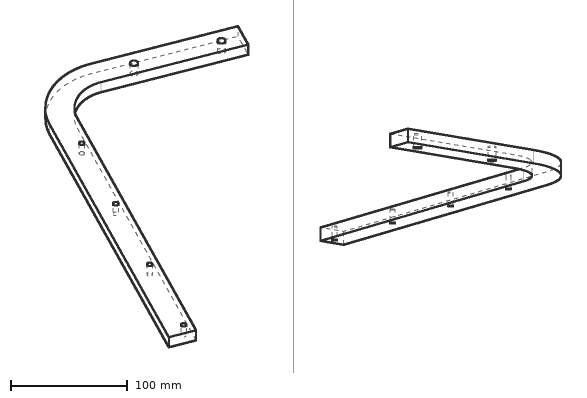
import cadquery as cq

length = 348.0
depth = 195.0
thickness = 12.0
bar_width = 25.0
outer_radius = 60.0
inner_radius = outer_radius - bar_width

large_hole_diameter = 7.0
large_hole_end_distance = 20.0
large_hole_spacing = 80.0
large_hole_count = 2

small_hole_diameter = 4.5
small_hole_end_distance = 10.0
small_hole_spacing = 82.0
small_hole_count = 4
small_hole_y = 17.5


def make_bar():
    """Bent bar with its outer corner at the origin and concentric bend arcs."""
    return (
        cq.Workplane("XY")
        .moveTo(0, depth)
        .lineTo(0, outer_radius)
        .radiusArc((outer_radius, 0), -outer_radius)
        .lineTo(length, 0)
        .lineTo(length, bar_width)
        .lineTo(outer_radius, bar_width)
        .radiusArc((bar_width, outer_radius), inner_radius)
        .lineTo(bar_width, depth)
        .close()
        .extrude(thickness)
    )


def drill_through(body, points, diameter):
    """Cut vertical through holes at the given points."""
    drills = cq.Workplane("XY").pushPoints(points).circle(diameter / 2).extrude(thickness)
    return body.cut(drills)


large_hole_points = [
    (bar_width / 2, depth - large_hole_end_distance - i * large_hole_spacing)
    for i in range(large_hole_count)
]
small_hole_points = [
    (length - small_hole_end_distance - i * small_hole_spacing, small_hole_y)
    for i in range(small_hole_count)
]

result = make_bar()
result = drill_through(result, large_hole_points, large_hole_diameter)
result = drill_through(result, small_hole_points, small_hole_diameter)